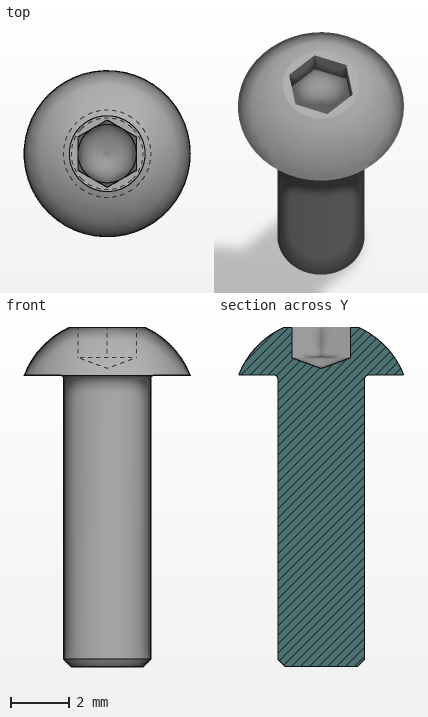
import cadquery as cq
import math

shank_diameter = 3.0
shank_length = 10.0
tip_chamfer = 0.27

head_diameter = 5.7
head_height = 1.65
head_top_diameter = 2.6
dome_radius = 3.0

neck_fillet_radius = 0.1

socket_across_flats = 2.0
socket_depth = 1.04
socket_sides = 6
socket_cone_angle = 140.0


def dome_midpoint():
    """Point halfway along the dome arc, from the rim up to the flat top (radius, z)."""
    rim_radius = head_diameter / 2
    top_radius = head_top_diameter / 2
    chord = math.hypot(rim_radius - top_radius, head_height)
    bulge = dome_radius - math.sqrt(dome_radius**2 - (chord / 2) ** 2)
    outward_radial = head_height / chord
    outward_axial = (rim_radius - top_radius) / chord
    return (
        (rim_radius + top_radius) / 2 + bulge * outward_radial,
        head_height / 2 + bulge * outward_axial,
    )


def make_body():
    """Head, neck fillet, shank and chamfered tip, revolved about Z."""
    shank_radius = shank_diameter / 2
    fillet_offset = neck_fillet_radius * (1 - math.sqrt(0.5))
    profile = (
        cq.Workplane("XZ")
        .moveTo(0, -shank_length)
        .lineTo(shank_radius - tip_chamfer, -shank_length)
        .lineTo(shank_radius, -shank_length + tip_chamfer)
        .lineTo(shank_radius, -neck_fillet_radius)
        .threePointArc(
            (shank_radius + fillet_offset, -fillet_offset),
            (shank_radius + neck_fillet_radius, 0),
        )
        .lineTo(head_diameter / 2, 0)
        .threePointArc(dome_midpoint(), (head_top_diameter / 2, head_height))
        .lineTo(0, head_height)
        .close()
    )
    return profile.revolve(360, (0, 0, 0), (0, 1, 0))


def make_socket():
    """Hexagonal socket with two flats facing +X and -X, ending in a drill cone."""
    floor_z = head_height - socket_depth
    flat_radius = socket_across_flats / 2
    half_side_angle = 180 / socket_sides
    corner_diameter = socket_across_flats / math.cos(math.radians(half_side_angle))
    hexagon = (
        cq.Workplane("XY", origin=(0, 0, floor_z))
        .transformed(rotate=(0, 0, half_side_angle))
        .polygon(socket_sides, corner_diameter)
        .extrude(socket_depth)
    )
    cone_depth = flat_radius / math.tan(math.radians(socket_cone_angle / 2))
    cone = (
        cq.Workplane("XZ")
        .moveTo(0, floor_z - cone_depth)
        .lineTo(flat_radius, floor_z)
        .lineTo(0, floor_z)
        .close()
        .revolve(360, (0, 0, 0), (0, 1, 0))
    )
    return hexagon.union(cone)


result = make_body().cut(make_socket())